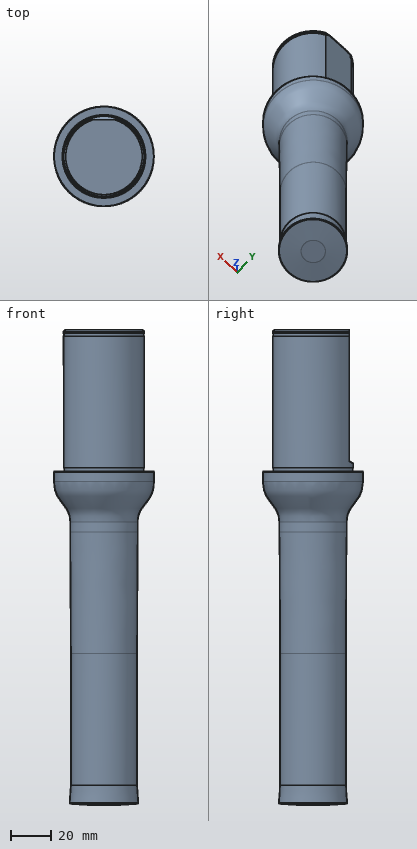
import cadquery as cq

total_length = 235.0
tip_height = 10.0
cylinder_top = 75.0
taper_top = 135.0
neck_top = 140.0
flange_bottom = 160.0
flange_top = 165.0

point_height = 0.7
point_flat_radius = 6.0
cutting_radius = 34.0 / 2
corner_height = 0.6
corner_width = 0.3

body_radius = 32.8 / 2
neck_radius = 33.46 / 2
flange_radius = 49.5 / 2
rim_chamfer_height = 0.4
rim_chamfer_width = 0.2
recess_radius = 20.6
recess_depth = 0.2

neck_pull = 9.0
flange_pull = 11.0

shank_radius = 39.99 / 2
relief_radius = 39.5 / 2
lower_relief_height = 1.8
upper_relief_height = 1.5
lip_height = 0.8
end_chamfer_width = 1.1
end_chamfer_height = 1.0

flat_offset = 18.0
flat_length = 65.0
flat_runout = 1.2


def make_tip():
    """Cutting tip: flares to the cutting diameter, then a small corner and a shallow point."""
    profile = (
        cq.Workplane("XZ")
        .moveTo(0, 0)
        .lineTo(point_flat_radius, 0)
        .lineTo(cutting_radius - corner_width, point_height)
        .lineTo(cutting_radius, point_height + corner_height)
        .lineTo(body_radius, tip_height)
        .lineTo(0, tip_height)
        .close()
    )
    return profile.revolve(360, (0, 0, 0), (0, 1, 0))


def draw_flange_curve(outline):
    """Continue the outline from the neck up to the flange with one smooth S-shaped curve."""
    return outline.bezier(
        [
            (neck_radius, neck_top),
            (neck_radius, neck_top + neck_pull),
            (flange_radius, flange_bottom - flange_pull),
            (flange_radius, flange_bottom),
        ]
    )


def make_clamping_flat():
    """Block that cuts the flat into the shank: open at the top, sloping outward at the bottom."""
    flat_bottom = total_length - flat_length
    return (
        cq.Workplane("YZ")
        .moveTo(flat_offset, total_length)
        .lineTo(flat_offset, flat_bottom)
        .lineTo(shank_radius, flat_bottom - flat_runout)
        .lineTo(shank_radius, total_length)
        .close()
        .extrude(shank_radius, both=True)
    )


def make_tool_body():
    """Drill body, flange and shank, turned in one piece."""
    lower_relief_top = flange_top + lower_relief_height
    end_chamfer_bottom = total_length - end_chamfer_height
    upper_relief_top = end_chamfer_bottom - lip_height
    upper_relief_bottom = upper_relief_top - upper_relief_height

    outline = (
        cq.Workplane("XZ")
        .moveTo(0, tip_height)
        .lineTo(body_radius, tip_height)
        .lineTo(body_radius, cylinder_top)
        .lineTo(neck_radius, taper_top)
        .lineTo(neck_radius, neck_top)
    )
    outline = draw_flange_curve(outline)
    profile = (
        outline
        .lineTo(flange_radius, flange_top - rim_chamfer_height)
        .lineTo(flange_radius - rim_chamfer_width, flange_top)
        .lineTo(recess_radius, flange_top)
        .lineTo(recess_radius, flange_top - recess_depth)
        .lineTo(relief_radius, flange_top - recess_depth)
        .lineTo(relief_radius, lower_relief_top)
        .lineTo(shank_radius, lower_relief_top)
        .lineTo(shank_radius, upper_relief_bottom)
        .lineTo(relief_radius, upper_relief_bottom)
        .lineTo(relief_radius, upper_relief_top)
        .lineTo(shank_radius, upper_relief_top)
        .lineTo(shank_radius, end_chamfer_bottom)
        .lineTo(shank_radius - end_chamfer_width, total_length)
        .lineTo(0, total_length)
        .close()
    )
    turned = profile.revolve(360, (0, 0, 0), (0, 1, 0))
    return turned.cut(make_clamping_flat())


tip = make_tip()
tool_body = make_tool_body()
result = cq.Compound.makeCompound([tip.val(), tool_body.val()])